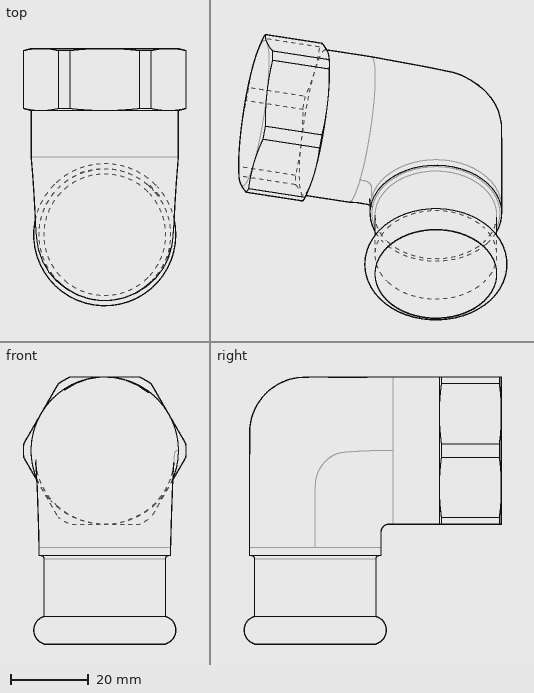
import cadquery as cq
import math

TUBE_RADIUS = 31.4 / 2
COLLAR_RADIUS = 34.0 / 2
COLLAR_BOTTOM = 22.9
COLLAR_TOP = 25.0
COLLAR_FILLET = 0.8

BEAD_SECTION_RADIUS = 3.7
BEAD_OUTER_RADIUS = 18.36

SOCKET_AXIS_Z = 50.0
SOCKET_RADIUS = 38.0 / 2
SOCKET_START_Y = 20.0
HEX_SIDES = 6
HEX_START_Y = 32.0
HEX_END_Y = 48.0
HEX_CORNER_RADIUS = 42.0 / 2
HEX_CHAMFER_ANGLE = 15.0

ELBOW_OUTER_BEND = 14.5
ELBOW_INNER_BEND = 2.0
ELBOW_WAIST = 17.65
ELBOW_SECTIONS = 19


def make_tube():
    """Tube with its collar and the rounded bead at its open end."""
    fillet_bottom = COLLAR_BOTTOM - COLLAR_FILLET
    tube = (
        cq.Workplane("XZ")
        .lineTo(TUBE_RADIUS, 0)
        .lineTo(TUBE_RADIUS, fillet_bottom)
        .radiusArc((TUBE_RADIUS + COLLAR_FILLET, COLLAR_BOTTOM), COLLAR_FILLET)
        .lineTo(COLLAR_RADIUS, COLLAR_BOTTOM)
        .lineTo(COLLAR_RADIUS, COLLAR_TOP)
        .lineTo(0, COLLAR_TOP)
        .close()
        .revolve(360, (0, 0), (0, 1))
    )
    ring_radius = BEAD_OUTER_RADIUS - BEAD_SECTION_RADIUS
    bead = (
        cq.Workplane("XZ")
        .moveTo(0, 0)
        .lineTo(ring_radius, 0)
        .threePointArc(
            (BEAD_OUTER_RADIUS, BEAD_SECTION_RADIUS),
            (ring_radius, 2 * BEAD_SECTION_RADIUS),
        )
        .lineTo(0, 2 * BEAD_SECTION_RADIUS)
        .close()
        .revolve(360, (0, 0), (0, 1))
    )
    return tube.union(bead)


def make_socket():
    """Plain cylinder followed by the hexagon with both ends chamfered."""
    socket_plane = cq.Plane(origin=(0, 0, SOCKET_AXIS_Z), xDir=(1, 0, 0), normal=(0, 1, 0))
    cylinder = (
        cq.Workplane(socket_plane)
        .workplane(offset=SOCKET_START_Y)
        .circle(SOCKET_RADIUS)
        .extrude(HEX_END_Y - SOCKET_START_Y)
    )
    hexagon = (
        cq.Workplane(socket_plane)
        .workplane(offset=HEX_START_Y)
        .polygon(HEX_SIDES, 2 * SOCKET_RADIUS / math.cos(math.pi / HEX_SIDES))
        .extrude(HEX_END_Y - HEX_START_Y)
    )
    chamfer_length = (HEX_CORNER_RADIUS - SOCKET_RADIUS) * math.tan(math.radians(HEX_CHAMFER_ANGLE))
    turned_envelope = (
        cq.Workplane("XY", origin=(0, 0, SOCKET_AXIS_Z))
        .moveTo(0, HEX_START_Y)
        .lineTo(SOCKET_RADIUS, HEX_START_Y)
        .lineTo(HEX_CORNER_RADIUS, HEX_START_Y + chamfer_length)
        .lineTo(HEX_CORNER_RADIUS, HEX_END_Y - chamfer_length)
        .lineTo(SOCKET_RADIUS, HEX_END_Y)
        .lineTo(0, HEX_END_Y)
        .close()
        .revolve(360, (0, 0), (0, 1))
    )
    return cylinder.union(hexagon.intersect(turned_envelope))


def rounded_corner_distance(reach_y, reach_z, bend, angle):
    """Distance from the pivot, at an angle, to an L outline with a rounded corner."""
    along_y = math.cos(angle)
    along_z = math.sin(angle)
    centre_y = reach_y - bend
    centre_z = reach_z - bend
    if reach_y * along_z <= centre_z * along_y:
        return reach_y / along_y
    if reach_z * along_y <= centre_y * along_z:
        return reach_z / along_z
    centre_along_ray = centre_y * along_y + centre_z * along_z
    centre_off_ray = centre_y * along_z - centre_z * along_y
    return centre_along_ray + math.sqrt(bend ** 2 - centre_off_ray ** 2)


def elbow_half_width(turn):
    """Half width along X: collar at turn 0, waist at 0.5, socket at 1."""
    collar_share = (1 - turn) * (1 - 2 * turn)
    waist_share = 4 * turn * (1 - turn)
    socket_share = turn * (2 * turn - 1)
    return COLLAR_RADIUS * collar_share + ELBOW_WAIST * waist_share + SOCKET_RADIUS * socket_share


def elbow_section(turn):
    """Elliptical wire on a plane swung about the pivot line inside the bend."""
    angle = turn * math.pi / 2
    inner = rounded_corner_distance(
        SOCKET_START_Y - COLLAR_RADIUS,
        SOCKET_AXIS_Z - SOCKET_RADIUS - COLLAR_TOP,
        ELBOW_INNER_BEND,
        angle,
    )
    outer = rounded_corner_distance(
        SOCKET_START_Y + COLLAR_RADIUS,
        SOCKET_AXIS_Z + SOCKET_RADIUS - COLLAR_TOP,
        ELBOW_OUTER_BEND,
        angle,
    )
    middle = (inner + outer) / 2
    centre = (0, SOCKET_START_Y - middle * math.cos(angle), COLLAR_TOP + middle * math.sin(angle))
    plane = cq.Plane(origin=centre, xDir=(1, 0, 0), normal=(0, math.sin(angle), math.cos(angle)))
    half_depth = (outer - inner) / 2
    return cq.Workplane(plane).ellipse(elbow_half_width(turn), half_depth).wires().val()


def make_elbow():
    """Bend that blends the collar circle into the socket circle."""
    turns = [index / (ELBOW_SECTIONS - 1) for index in range(ELBOW_SECTIONS)]
    return cq.Workplane(cq.Solid.makeLoft([elbow_section(turn) for turn in turns]))


result = make_tube().union(make_elbow()).union(make_socket())